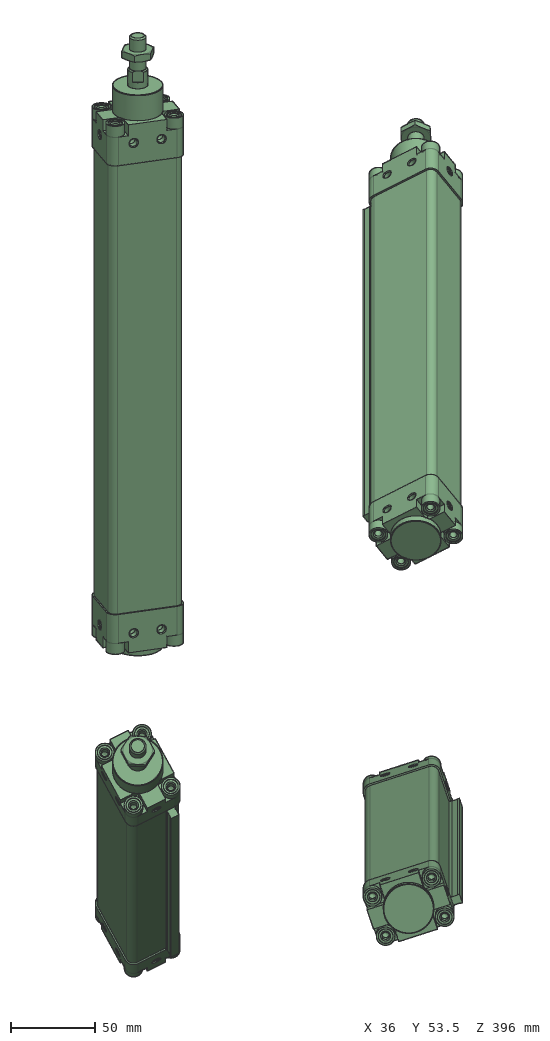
import cadquery as cq
import math

total_height = 396.0
rear_collar_height = 4.8
cap_height = 25.7
barrel_height = 291.0
front_collar_height = 16.5

rear_cap_base = rear_collar_height
barrel_base = rear_cap_base + cap_height
barrel_top = barrel_base + barrel_height
cap_top = barrel_top + cap_height
collar_top = cap_top + front_collar_height

collar_dia = 30.0
collar_chamfer = 0.5
cap_width = 36.0
cap_depth = 48.0
overall_depth = 53.5
boss_dia = 11.0
boss_radius = boss_dia / 2
boss_x = cap_width / 2 - boss_radius
boss_y = cap_depth / 2 - boss_radius
barrel_inset = 1.0
barrel_width = cap_width - 2 * barrel_inset
barrel_depth = cap_depth - 2 * barrel_inset
barrel_corner_radius = boss_radius - barrel_inset

rail_width = 5.5
rail_x = -9.5
rail_overlap = 0.8
groove_depth = 0.2
groove_width = 3.5
groove_lip = 1.0

notch_depth = 7.0
notch_clearance = 0.8
notch_inner_x = boss_x - boss_radius - notch_clearance
notch_inner_y = boss_y - boss_radius - notch_clearance
boss_recess_dia = 8.7
boss_recess_depth = 0.8
boss_hole_mouth_dia = 6.0
boss_hole_dia = 4.5
boss_hole_depth = 6.0

port_offset = 12.3
port_mouth_dia = 6.0
end_port_dia = 4.0
side_port_dia = 4.8
end_port_mouth_depth = 0.8
end_port_depth = 1.5
side_port_depth = 4.8
side_port_y = 8.7
drill_point_angle = 118.0

rod_dia = 12.0
thread_dia = 10.0
thread_chamfer = 1.0
thread_length = 21.0
flat_width = 10.0
flat_length = 7.0
flat_turn = -17.0
shoulder_chamfer = 0.8
rod_end = barrel_top
thread_base = total_height - thread_length

nut_across_flats = 17.5
nut_across_corners = nut_across_flats / math.cos(math.radians(30))
nut_height = 4.8
nut_chamfer_height = 0.5
nut_chamfer_width = (nut_across_corners - nut_across_flats) / 2
nut_base = 382.5


def rounded_block(width, depth, height, corner_radius, base):
    """Upright block with rounded vertical edges, standing on z = base."""
    block = cq.Workplane("XY").box(width, depth, height, centered=(True, True, False))
    return block.edges("|Z").fillet(corner_radius).translate((0, 0, base))


def drilled_hole(mouth_dia, hole_dia, depth):
    """Cutter for a blind hole down from z = 0 with a 45 degree mouth and a conical drill point."""
    mouth_radius = mouth_dia / 2
    hole_radius = hole_dia / 2
    point_depth = hole_radius / math.tan(math.radians(drill_point_angle / 2))
    profile = (
        cq.Workplane("XZ")
        .lineTo(mouth_radius, 0)
        .lineTo(hole_radius, hole_radius - mouth_radius)
        .lineTo(hole_radius, -depth)
        .lineTo(0, -depth - point_depth)
        .close()
    )
    return profile.revolve(360, (0, 0, 0), (0, 1, 0))


def stepped_hole(mouth_dia, mouth_depth, hole_dia, depth):
    """Cutter for a flat-bottomed blind hole down from z = 0 with a wider, stepped mouth."""
    mouth = cq.Workplane("XY").circle(mouth_dia / 2).extrude(-mouth_depth)
    return mouth.union(cq.Workplane("XY").circle(hole_dia / 2).extrude(-depth))


def add_corner_boss(cap, side_x, side_y):
    """Cut one corner notch of the cap and stand a recessed, drilled boss in it."""
    notch_base = cap_height - notch_depth
    size_x = cap_width / 2 - notch_inner_x
    size_y = cap_depth / 2 - notch_inner_y
    notch = cq.Workplane("XY").box(size_x, size_y, notch_depth, centered=(True, True, False))
    notch_x = side_x * (notch_inner_x + size_x / 2)
    notch_y = side_y * (notch_inner_y + size_y / 2)
    notch = notch.translate((notch_x, notch_y, notch_base))

    boss = cq.Workplane("XY").circle(boss_radius).extrude(notch_depth)
    recess = cq.Workplane("XY").circle(boss_recess_dia / 2).extrude(boss_recess_depth)
    recess_base = notch_depth - boss_recess_depth
    hole = drilled_hole(boss_hole_mouth_dia, boss_hole_dia, boss_hole_depth)
    hole = hole.union(recess).translate((side_x * boss_x, side_y * boss_y, notch_base + recess_base))
    boss = boss.translate((side_x * boss_x, side_y * boss_y, notch_base))
    return cap.cut(notch).union(boss).cut(hole)


def make_cap():
    """End cap standing on z = 0, with its outer face and corner bosses at the top."""
    cap = rounded_block(cap_width, cap_depth, cap_height, boss_radius, 0)
    for side_x in (-1, 1):
        for side_y in (-1, 1):
            cap = add_corner_boss(cap, side_x, side_y)

    end_port = stepped_hole(port_mouth_dia, end_port_mouth_depth, end_port_dia, end_port_depth)
    side_port = drilled_hole(port_mouth_dia, side_port_dia, side_port_depth)
    port_z = cap_height - port_offset
    for side in (-1, 1):
        turned_end_port = end_port.rotate((0, 0, 0), (1, 0, 0), -side * 90)
        cap = cap.cut(turned_end_port.translate((0, side * cap_depth / 2, port_z)))
        turned_side_port = side_port.rotate((0, 0, 0), (0, 1, 0), side * 90)
        for y in (-side_port_y, side_port_y):
            cap = cap.cut(turned_side_port.translate((side * cap_width / 2, y, port_z)))
    return cap


def make_collar(height):
    """Round collar standing on z = 0 with a chamfered outer end at the top."""
    return cq.Workplane("XY").circle(collar_dia / 2).extrude(height).faces(">Z").chamfer(collar_chamfer)


def make_rail():
    """Straight sensor rail with a shallow groove along both sides."""
    rail_start = barrel_depth / 2 - rail_overlap
    rail_end = overall_depth - cap_depth / 2
    rail_depth = rail_end - rail_start
    rail = cq.Workplane("XY").box(rail_width, rail_depth, barrel_height, centered=(True, False, False))
    rail = rail.translate((rail_x, rail_start, barrel_base))
    groove = cq.Workplane("XY").box(2 * groove_depth, groove_width, barrel_height, centered=(True, False, False))
    groove_start = rail_end - groove_lip - groove_width
    for side in (-1, 1):
        rail = rail.cut(groove.translate((rail_x + side * rail_width / 2, groove_start, barrel_base)))
    return rail


def make_housing():
    """Barrel with sensor rail, both end caps and both collars, bored for the rod."""
    barrel = rounded_block(barrel_width, barrel_depth, barrel_height, barrel_corner_radius, barrel_base)
    front_cap = make_cap().translate((0, 0, barrel_top))
    rear_cap = make_cap().mirror("XY").translate((0, 0, barrel_base))
    front_collar = make_collar(front_collar_height).translate((0, 0, cap_top))
    rear_collar = make_collar(rear_collar_height).mirror("XY").translate((0, 0, rear_cap_base))
    rod_bore = cq.Workplane("XY").circle(rod_dia / 2).extrude(collar_top - rod_end)
    return (
        barrel.union(make_rail())
        .union(front_cap)
        .union(rear_cap)
        .union(front_collar)
        .union(rear_collar)
        .cut(rod_bore.translate((0, 0, rod_end)))
    )


def make_rod():
    """Piston rod with two turned wrench flats below a chamfered thread."""
    rod = cq.Workplane("XY").circle(rod_dia / 2).extrude(thread_base - rod_end)
    rod = rod.faces(">Z").chamfer(shoulder_chamfer).translate((0, 0, rod_end))
    for side in (-1, 1):
        cutter = cq.Workplane("XY").box(rod_dia, rod_dia, flat_length, centered=(True, True, False))
        cutter = cutter.translate((side * (flat_width + rod_dia) / 2, 0, thread_base - flat_length))
        rod = rod.cut(cutter.rotate((0, 0, 0), (0, 0, 1), flat_turn))
    thread = cq.Workplane("XY").circle(thread_dia / 2).extrude(thread_length)
    thread = thread.faces(">Z").chamfer(thread_chamfer)
    return rod.union(thread.translate((0, 0, thread_base)))


def make_nut():
    """Hexagon nut with two flats facing -X and +X and chamfered corners."""
    nut = cq.Workplane("XY").polygon(6, nut_across_corners).extrude(nut_height)
    nut = nut.rotate((0, 0, 0), (0, 0, 1), 30)
    blank = cq.Workplane("XY").circle(nut_across_corners / 2).extrude(nut_height)
    blank = blank.faces("<Z or >Z").chamfer(nut_chamfer_height, nut_chamfer_width)
    bore = cq.Workplane("XY").circle(thread_dia / 2).extrude(nut_height)
    return nut.intersect(blank).cut(bore).translate((0, 0, nut_base))


housing = make_housing()
rod = make_rod()
nut = make_nut()

result = cq.Compound.makeCompound([housing.val(), rod.val(), nut.val()])